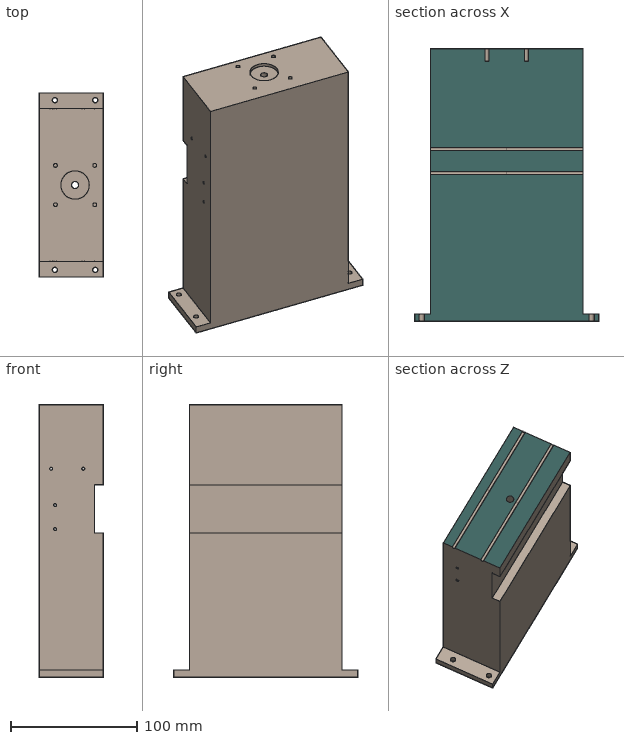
import cadquery as cq

width = 50.7
height = 216.0
foot_length = 146.0
foot_thickness = 6.0
body_length = 121.0

foot_hole_diameter = 3.9
foot_hole_spacing_x = 32.0
foot_hole_spacing_y = 134.3

motor_x = 3.0
pilot_diameter = 22.5
pilot_depth = 2.5
shaft_bore_diameter = 5.5
motor_screw_spacing = 31.0
motor_screw_diameter = 3.0
motor_screw_depth = 10.0

notch_depth = 7.0
notch_height = 38.0
notch_bottom = 114.5

cross_hole_diameter = 2.05
upper_pair_z = 165.2
upper_pair_x = -16.0
upper_pair_spacing = 25.5
lower_pair_x = -12.7
lower_pair_top_z = 136.5
lower_pair_spacing = 19.0


def make_body():
    foot = cq.Workplane("XY").box(width, foot_length, foot_thickness, centered=(True, True, False))
    tower = cq.Workplane("XY").box(width, body_length, height, centered=(True, True, False))
    return foot.union(tower)


def make_notch():
    return (
        cq.Workplane("XY", origin=(width / 2 - notch_depth, 0, notch_bottom))
        .box(notch_depth, body_length, notch_height, centered=(False, True, False))
    )


def make_foot_holes():
    return (
        cq.Workplane("XY", origin=(motor_x, 0, 0))
        .rarray(foot_hole_spacing_x, foot_hole_spacing_y, 2, 2)
        .circle(foot_hole_diameter / 2)
        .extrude(foot_thickness)
    )


def make_motor_mount():
    top_face = cq.Workplane("XY", origin=(motor_x, 0, height))
    pilot = top_face.circle(pilot_diameter / 2).extrude(-pilot_depth)
    shaft_bore = top_face.circle(shaft_bore_diameter / 2).extrude(-height)
    screw_holes = (
        top_face.rarray(motor_screw_spacing, motor_screw_spacing, 2, 2)
        .circle(motor_screw_diameter / 2)
        .extrude(-motor_screw_depth)
    )
    return pilot.union(shaft_bore).union(screw_holes)


def make_cross_holes():
    centers = [
        (upper_pair_x, upper_pair_z),
        (upper_pair_x + upper_pair_spacing, upper_pair_z),
        (lower_pair_x, lower_pair_top_z),
        (lower_pair_x, lower_pair_top_z - lower_pair_spacing),
    ]
    return (
        cq.Workplane("XZ")
        .pushPoints(centers)
        .circle(cross_hole_diameter / 2)
        .extrude(body_length / 2, both=True)
    )


result = (
    make_body()
    .cut(make_notch())
    .cut(make_foot_holes())
    .cut(make_motor_mount())
    .cut(make_cross_holes())
)